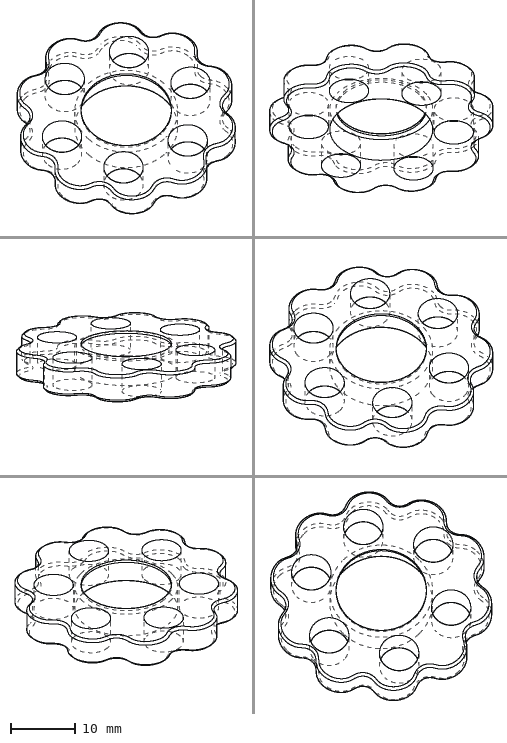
import cadquery as cq
import math

lobe_count = 10
pin_count = lobe_count + 1
pin_circle_radius = 17.95
pin_radius = 1.8
eccentricity = 1.18

thickness = 4.4
rim_chamfer = 0.4
bore_diameter = 14.0
seat_diameter = 16.0
lip_thickness = 0.4

roller_hole_count = 6
roller_hole_diameter = 6.1
roller_circle_radius = 11.27

points_per_lobe = 24


def rim_point(angle):
    """Point on the cycloidal rim; angle 0 and angle pi fall in valleys."""
    pin_turn = lobe_count * angle
    contact_angle = math.atan2(
        math.sin(pin_turn),
        math.cos(pin_turn) - pin_circle_radius / (eccentricity * pin_count),
    ) - math.pi
    x = (
        pin_circle_radius * math.cos(angle)
        - pin_radius * math.cos(angle + contact_angle)
        - eccentricity * math.cos(pin_count * angle)
    )
    y = (
        pin_circle_radius * math.sin(angle)
        - pin_radius * math.sin(angle + contact_angle)
        - eccentricity * math.sin(pin_count * angle)
    )
    return x, y


def make_disc():
    """Lobed disc centred on the origin, with both rim edges chamfered."""
    point_count = lobe_count * points_per_lobe
    rim = [
        rim_point(math.pi + 2 * math.pi * i / point_count)
        for i in range(point_count)
    ]
    disc = cq.Workplane("XY").spline(rim, periodic=True).close().extrude(thickness)
    return disc.faces("<Z or >Z").edges().chamfer(rim_chamfer)


def cut_bore(body):
    """Central bearing seat open at the bottom, under a thin lip with a smaller opening."""
    opening = cq.Workplane("XY").circle(bore_diameter / 2).extrude(thickness)
    seat = cq.Workplane("XY").circle(seat_diameter / 2).extrude(thickness - lip_thickness)
    return body.cut(opening).cut(seat)


def cut_roller_holes(body):
    """Ring of through holes for the output rollers."""
    return (
        body.faces(">Z")
        .workplane(origin=(0, 0, 0))
        .polarArray(roller_circle_radius, 0, 360, roller_hole_count)
        .hole(roller_hole_diameter)
    )


result = cut_roller_holes(cut_bore(make_disc()))